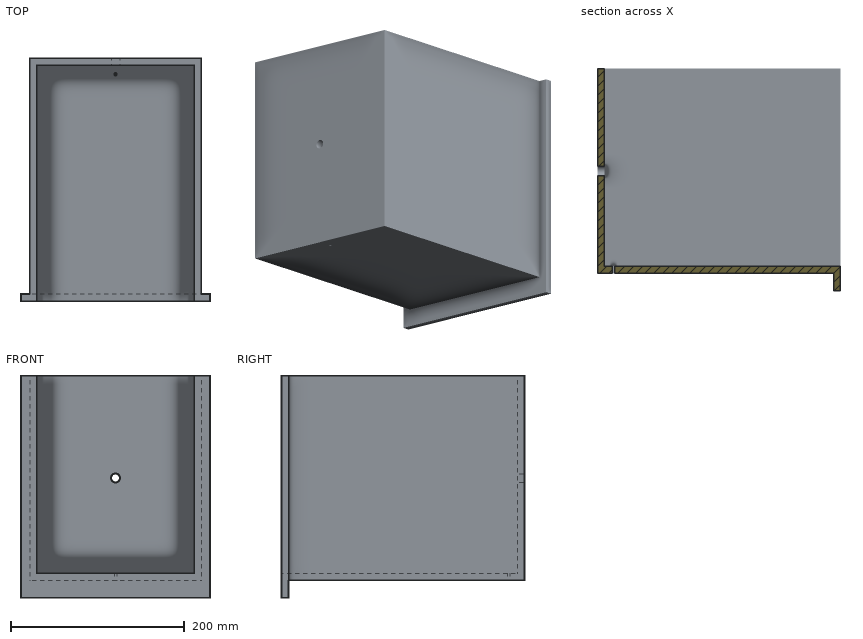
import cadquery as cq

total_width = 218.0
total_depth = 280.0
total_height = 256.0

wall = 8.5
panel_thickness = 8.5
side_overhang = 10.0
bottom_overhang = 20.2

back_hole_diameter = 10.0
floor_hole_diameter = 2.5
floor_hole_setback = 10.0

box_width = total_width - 2 * side_overhang
box_height = total_height - bottom_overhang
inner_width = box_width - 2 * wall
inner_depth = total_depth - wall
floor_top = bottom_overhang + wall
inner_height = total_height - floor_top


def block(width, depth, height, bottom):
    """Block centred on X, starting at Y = 0 and rising from the given Z."""
    solid = cq.Workplane("XY").box(width, depth, height, centered=(True, False, False))
    return solid.translate((0, 0, bottom))


box = block(box_width, total_depth, box_height, bottom_overhang)
panel = block(total_width, panel_thickness, total_height, 0)

interior = block(inner_width, inner_depth, inner_height, floor_top)

back_hole = cq.Workplane(
    cq.Plane(
        origin=(0, inner_depth, bottom_overhang + box_height / 2),
        xDir=(1, 0, 0),
        normal=(0, 1, 0),
    )
).circle(back_hole_diameter / 2).extrude(wall)

floor_hole = (
    cq.Workplane("XY", origin=(0, inner_depth - floor_hole_setback, bottom_overhang))
    .circle(floor_hole_diameter / 2)
    .extrude(wall)
)

result = box.union(panel).cut(interior).cut(back_hole).cut(floor_hole)